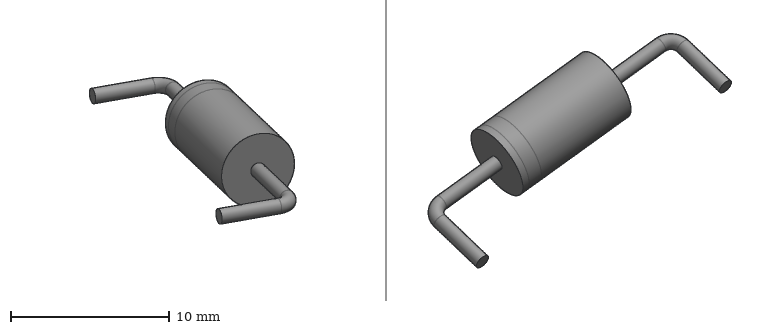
import cadquery as cq

overall_length = 21.32
body_diameter = 5.0
body_length = 9.05
lead_diameter = 1.0
bend_radius = 1.0
lead_reach = 5.1

band_offset = 0.51
band_width = 1.02

lead_x = (overall_length - lead_diameter) / 2
body_end_x = body_length / 2


def body_section(start_x, length):
    """Cylindrical stretch of the body, along X."""
    return cq.Workplane("YZ", origin=(start_x, 0, 0)).circle(body_diameter / 2).extrude(length)


def make_body():
    """Plain cylinder whose side is split into separate faces at the band edges."""
    band_start = -body_end_x + band_offset
    band_end = band_start + band_width
    end_cap = body_section(-body_end_x, band_offset)
    band = body_section(band_start, band_width)
    barrel = body_section(band_end, body_end_x - band_end)
    return end_cap.union(band, clean=False).union(barrel, clean=False)


def make_lead(side):
    """Round wire leaving one body end and bending toward -Y; side is -1 or +1."""
    path = (
        cq.Workplane("XY")
        .moveTo(side * body_end_x, 0)
        .lineTo(side * (lead_x - bend_radius), 0)
        .tangentArcPoint((side * lead_x, -bend_radius), relative=False)
        .lineTo(side * lead_x, -lead_reach)
    )
    profile = cq.Workplane("YZ", origin=(side * body_end_x, 0, 0)).circle(lead_diameter / 2)
    return profile.sweep(path)


result = make_body()
for side in (-1, 1):
    result = result.union(make_lead(side), clean=False)